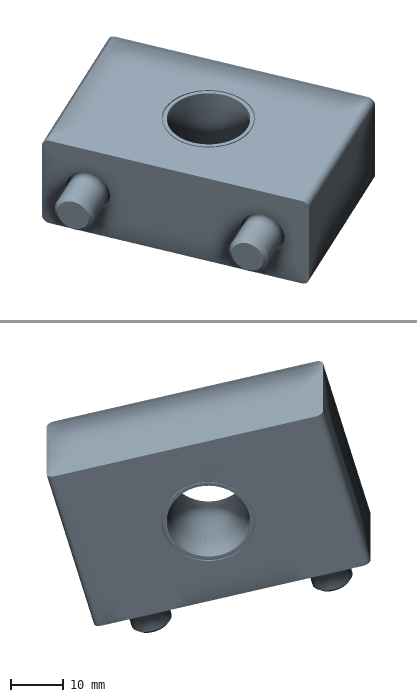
import cadquery as cq

block_width = 55.0
block_depth = 35.0
block_height = 20.0
edge_radius = 1.5

bore_diameter = 16.0
bushing_diameter = 18.0
groove_size = 0.3

pin_diameter = 8.05
pin_length = 8.05
pin_spacing = 35.95
pin_tip_chamfer_length = 0.75
pin_tip_diameter = 6.5
recess_clearance = 0.5
recess_depth = 2.0

front_y = -block_depth / 2
top_z = block_height / 2
pin_radius = pin_diameter / 2


def make_block():
    block = cq.Workplane("XY").box(block_width, block_depth, block_height)
    return block.edges("|Y").fillet(edge_radius)


def make_bore():
    return cq.Workplane("XY").circle(bore_diameter / 2).extrude(block_height, both=True)


def make_rim_groove():
    """Square-bottomed ring in the top face that outlines the bushing."""
    outer = bushing_diameter / 2
    profile = [
        (outer, top_z),
        (outer - groove_size, top_z),
        (outer - groove_size, top_z - groove_size),
        (outer, top_z - groove_size),
    ]
    return cq.Workplane("XZ").polyline(profile).close().revolve(360, (0, 0), (0, 1))


def make_recess(x):
    """Flat-bottomed recess around a pin."""
    return (
        cq.Workplane("XZ", origin=(x, front_y + recess_depth, 0))
        .circle(pin_radius + recess_clearance)
        .extrude(recess_depth)
    )


def make_pin(x):
    """Pin starting at the recess floor, with a chamfered tip."""
    start_y = front_y + recess_depth
    tip_y = front_y - pin_length
    profile = [
        (x, start_y),
        (x + pin_radius, start_y),
        (x + pin_radius, tip_y + pin_tip_chamfer_length),
        (x + pin_tip_diameter / 2, tip_y),
        (x, tip_y),
    ]
    return cq.Workplane("XY").polyline(profile).close().revolve(360, (x, 0), (x, 1))


rim_groove = make_rim_groove()
result = make_block().cut(make_bore()).cut(rim_groove).cut(rim_groove.mirror("XY"))

for pin_x in (-pin_spacing / 2, pin_spacing / 2):
    result = result.cut(make_recess(pin_x)).union(make_pin(pin_x))